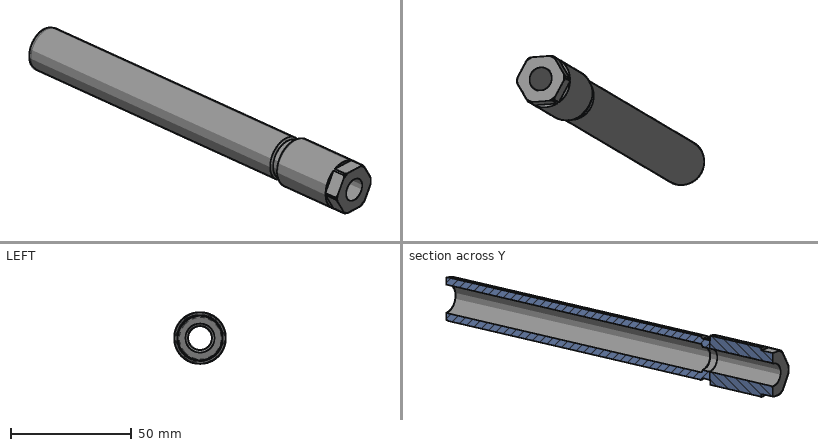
import cadquery as cq
import math

total_length = 175.2
shoulder_end = 137.4
collar_start = 141.2
hex_start = 168.9

tube_diameter = 19.1
neck_diameter = 17.3
tip_taper_length = 1.2
tip_taper_depth = 0.4
tube_bore_diameter = 12.1
through_bore_diameter = 9.8
drill_point_angle = 118.0

collar_diameter = 21.5
rim_fillet = 0.5
end_chamfer = 0.5
hex_across_flats = 19.1
hex_sides = 6


def revolve_about_x(outline):
    """Solid of revolution from (x, radius) points whose ends lie on the X axis."""
    return cq.Workplane("XY").polyline(outline).close().revolve(360, (0, 0, 0), (1, 0, 0))


def cylinder(diameter, start, end):
    """Solid cylinder on the X axis between two X positions."""
    return cq.Workplane("YZ", origin=(start, 0, 0)).circle(diameter / 2).extrude(end - start)


def make_tube_bore():
    """Wide bore with a drill-point bottom at the shoulder, then a narrow bore through the neck."""
    wide_radius = tube_bore_diameter / 2
    narrow_radius = through_bore_diameter / 2
    cone_length = (wide_radius - narrow_radius) / math.tan(math.radians(drill_point_angle / 2))
    cone_start = shoulder_end - cone_length
    return revolve_about_x([
        (0, 0),
        (0, wide_radius),
        (cone_start, wide_radius),
        (shoulder_end, narrow_radius),
        (collar_start, narrow_radius),
        (collar_start, 0),
    ])


def make_tube():
    """Tube with a tapered tip and a 45 degree shoulder down to a neck that meets the collar."""
    tube_radius = tube_diameter / 2
    neck_radius = neck_diameter / 2
    shoulder_start = shoulder_end - (tube_radius - neck_radius)
    body = revolve_about_x([
        (0, 0),
        (0, tube_radius - tip_taper_depth),
        (tip_taper_length, tube_radius),
        (shoulder_start, tube_radius),
        (shoulder_end, neck_radius),
        (collar_start, neck_radius),
        (collar_start, 0),
    ])
    return body.cut(make_tube_bore())


def make_hex_cutter():
    """Ring around the wrench hexagon, which has two flats facing +Z and -Z."""
    hexagon = (
        cq.Workplane("YZ", origin=(hex_start, 0, 0))
        .transformed(rotate=(0, 0, 180 / hex_sides))
        .polygon(hex_sides, hex_across_flats, circumscribed=True)
        .extrude(total_length - hex_start)
    )
    ring_diameter = 2 * collar_diameter
    return cylinder(ring_diameter, hex_start, total_length).cut(hexagon)


def make_collar():
    """Round collar with a rounded front rim, a through bore and a wrench hexagon at the far end."""
    collar_radius = collar_diameter / 2
    body = revolve_about_x([
        (collar_start, 0),
        (collar_start, collar_radius),
        (total_length - end_chamfer, collar_radius),
        (total_length, collar_radius - end_chamfer),
        (total_length, 0),
    ])
    body = body.faces("<X").edges().fillet(rim_fillet)
    bore = cylinder(through_bore_diameter, collar_start, total_length)
    return body.cut(make_hex_cutter()).cut(bore)


tube = make_tube()
collar = make_collar()
result = cq.Compound.makeCompound([tube.val(), collar.val()])